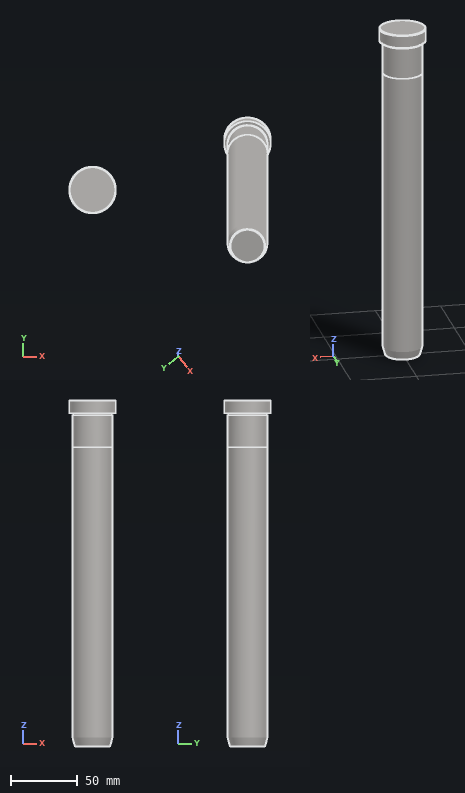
import cadquery as cq

total_length = 260.0
shaft_radius = 15.0

head_radius = 17.55
head_height = 10.0
head_chamfer = 0.5
groove_width = 1.5
groove_depth = 0.5

upper_length = 35.4

lead_in_length = 7.0
tip_radius = 13.3
tip_chamfer = 0.5
lead_in_bulge = 0.13

half_length = total_length / 2
top_z = half_length
bottom_z = -half_length
joint_z = top_z - upper_length
head_bottom_z = top_z - head_height
groove_bottom_z = head_bottom_z - groove_width


def revolve_about_z(profile):
    """Turn a closed half-profile, drawn on the -X side, once around Z."""
    return profile.close().revolve(360, (0, 0, 0), (0, 1, 0))


def make_headed_end():
    """Chamfered head, relief groove and the short collar below them."""
    groove_radius = shaft_radius - groove_depth
    profile = (
        cq.Workplane("XZ")
        .moveTo(0, top_z)
        .lineTo(-(head_radius - head_chamfer), top_z)
        .lineTo(-head_radius, top_z - head_chamfer)
        .lineTo(-head_radius, head_bottom_z)
        .lineTo(-groove_radius, head_bottom_z)
        .lineTo(-groove_radius, groove_bottom_z)
        .lineTo(-shaft_radius, groove_bottom_z)
        .lineTo(-shaft_radius, joint_z)
        .lineTo(0, joint_z)
    )
    return revolve_about_z(profile)


def make_shaft():
    """Long plain shaft that narrows along a convex arc to its chamfered flat tip."""
    lead_in_top_z = bottom_z + lead_in_length
    lead_in_bottom_z = bottom_z + tip_chamfer
    lead_in_middle = (
        -((shaft_radius + tip_radius) / 2 + lead_in_bulge),
        (lead_in_top_z + lead_in_bottom_z) / 2,
    )
    profile = (
        cq.Workplane("XZ")
        .moveTo(0, joint_z)
        .lineTo(-shaft_radius, joint_z)
        .lineTo(-shaft_radius, lead_in_top_z)
        .threePointArc(lead_in_middle, (-tip_radius, lead_in_bottom_z))
        .lineTo(-(tip_radius - tip_chamfer), bottom_z)
        .lineTo(0, bottom_z)
    )
    return revolve_about_z(profile)


headed_end = make_headed_end()
shaft = make_shaft()

result = cq.Compound.makeCompound([headed_end.val(), shaft.val()])